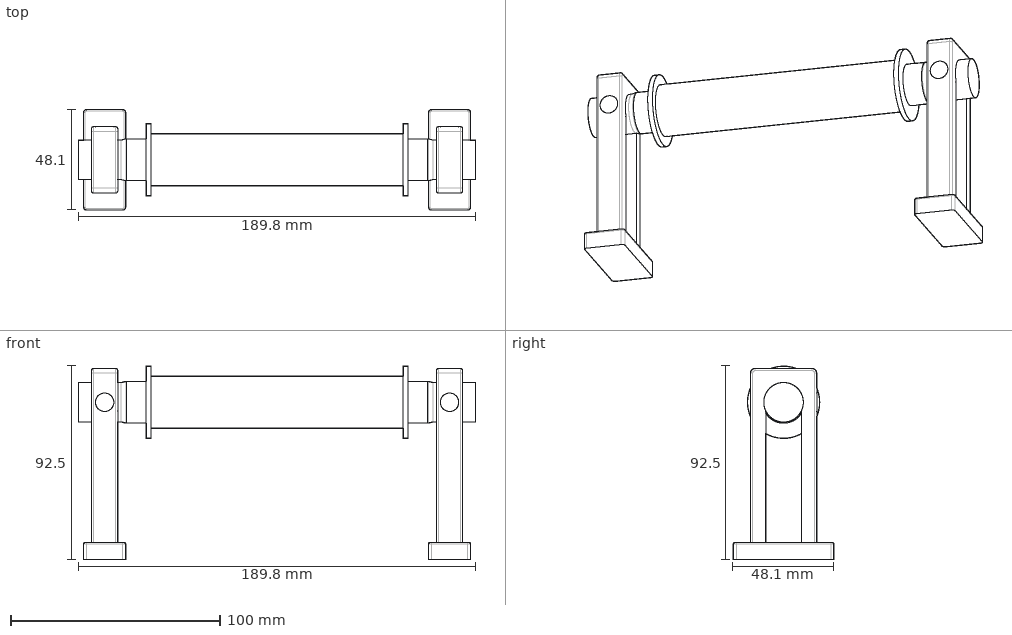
import cadquery as cq


total_length = 189.79
total_height = 92.48

stand_spacing = 164.8
base_length = 20.2
base_width = 48.11
base_height = 8.2
base_corner_radius = 1.5
base_edge_radius = 0.8
post_length = 12.6
post_width = 31.7
post_top = 91.4
post_shoulder_radius = 2.3
post_edge_radius = 1.1
slot_width = 17.0

flange_diameter = 34.6
flange_thickness = 2.4
flange_spacing = 122.8
tube_diameter = 25.0
hub_diameter = 20.0
roller_length = 143.8

axle_diameter = 18.9
core_diameter = 16.0
flare_length = 2.2
rim_thickness = 0.4
cross_pin_diameter = 8.8

axis_height = total_height - flange_diameter / 2
post_height = post_top - base_height


def rod(diameter, length):
    """Cylinder on the roller axis, centred on X = 0."""
    return (
        cq.Workplane("YZ", origin=(-length / 2, 0, axis_height))
        .circle(diameter / 2)
        .extrude(length)
    )


def make_cross_pin(x):
    """Pin through the axle along Y, flush with both outer faces of a post."""
    return (
        cq.Workplane("XZ", origin=(x, post_width / 2, axis_height))
        .circle(cross_pin_diameter / 2)
        .extrude(post_width)
    )


def make_base():
    """Foot plate with rounded corners and a rounded top rim."""
    return (
        cq.Workplane("XY")
        .box(base_length, base_width, base_height, centered=(True, True, False))
        .edges("|Z")
        .fillet(base_corner_radius)
        .faces(">Z")
        .edges()
        .fillet(base_edge_radius)
    )


def make_post():
    """Upright with rounded shoulders and rounded rims on both X faces."""
    return (
        cq.Workplane("XY", origin=(0, 0, base_height))
        .box(post_length, post_width, post_height, centered=(True, True, False))
        .edges("|X and >Z")
        .fillet(post_shoulder_radius)
        .faces("<X or >X")
        .edges("not <Z")
        .fillet(post_edge_radius)
    )


def make_stand(x):
    """Base and post, slotted up to the axle and bored for the axle and its cross pin."""
    slot = (
        cq.Workplane("XY", origin=(0, 0, base_height))
        .box(post_length, slot_width, axis_height - base_height, centered=(True, True, False))
    )
    stand = make_base().union(make_post().cut(slot)).translate((x, 0, 0))
    return stand.cut(rod(axle_diameter, total_length)).cut(make_cross_pin(x))


def make_flare(side):
    """Collar that widens from the axle to a thin rim of hub diameter against the roller end."""
    rim = (
        cq.Workplane("YZ", origin=(side * roller_length / 2, 0, axis_height))
        .circle(hub_diameter / 2)
        .extrude(side * rim_thickness)
    )
    cone = (
        cq.Workplane("YZ", origin=(side * (roller_length / 2 + rim_thickness), 0, axis_height))
        .circle(hub_diameter / 2)
        .workplane(offset=side * flare_length)
        .circle(axle_diameter / 2)
        .loft()
    )
    return rim.union(cone)


def make_axle():
    """Axle with a slim core inside the roller, a flare at each roller end and two cross pins."""
    journals = rod(axle_diameter, total_length).cut(rod(axle_diameter, roller_length))
    axle = rod(core_diameter, total_length).union(journals)
    for side in (-1, 1):
        axle = axle.union(make_flare(side)).union(make_cross_pin(side * stand_spacing / 2))
    return axle


def make_roller():
    """Tube between two flanges, with a hub outside each flange."""
    flanges = (
        rod(flange_diameter, flange_spacing + flange_thickness)
        .cut(rod(flange_diameter, flange_spacing - flange_thickness))
    )
    return (
        rod(hub_diameter, roller_length)
        .union(rod(tube_diameter, flange_spacing))
        .union(flanges)
        .cut(rod(core_diameter, roller_length))
    )


stands = [make_stand(side * stand_spacing / 2) for side in (-1, 1)]
axle = make_axle()
roller = make_roller()

result = cq.Compound.makeCompound([*[stand.val() for stand in stands], axle.val(), roller.val()])